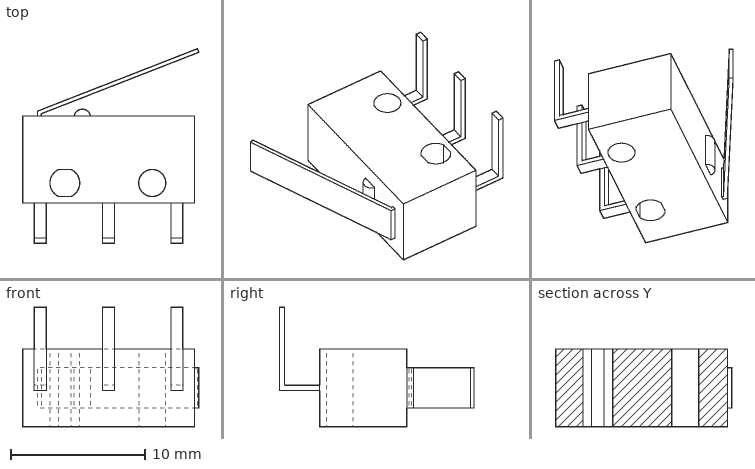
import cadquery as cq
import math

body_length = 12.8
body_depth = 6.5
body_height = 5.8
mid_x = body_length / 2
mid_z = body_height / 2

hole_spacing = 6.5
hole_y = 1.5
hole_diameter = 2.0
wide_hole_diameter = 2.2

terminal_pitch = 5.08
terminal_width = 0.9
terminal_thickness = 0.4
terminal_reach = 3.0
terminal_top = 8.9
terminal_offsets = [-terminal_pitch, 0, terminal_pitch]

lever_x = 1.1
lever_width = 3.0
lever_thickness = 0.3
lever_foot_height = 0.35
lever_rise = 5.0
lever_angle = math.radians(21.31)

plunger_x = 4.45
plunger_radius = 0.62
plunger_height = 0.5


def make_body():
    return cq.Workplane("XY").box(body_length, body_depth, body_height, centered=False)


def make_round_hole():
    center_x = mid_x + hole_spacing / 2
    return cq.Workplane("XY").center(center_x, hole_y).circle(hole_diameter / 2).extrude(body_height)


def make_wide_hole():
    """Larger round hole narrowed by two flats to the diameter of the other hole."""
    base = cq.Workplane("XY").center(mid_x - hole_spacing / 2, hole_y)
    circle = base.circle(wide_hole_diameter / 2).extrude(body_height)
    flats = base.rect(wide_hole_diameter, hole_diameter).extrude(body_height)
    return circle.intersect(flats)


def make_terminal(center_x):
    leg_bottom = mid_z - terminal_thickness / 2
    leg_top = leg_bottom + terminal_thickness
    bend_y = -terminal_reach + terminal_thickness
    return (
        cq.Workplane("YZ", origin=(center_x, 0, 0))
        .moveTo(0, leg_bottom)
        .lineTo(-terminal_reach, leg_bottom)
        .lineTo(-terminal_reach, terminal_top)
        .lineTo(bend_y, terminal_top)
        .lineTo(bend_y, leg_top)
        .lineTo(0, leg_top)
        .close()
        .extrude(terminal_width / 2, both=True)
    )


def make_lever():
    """Short foot rising from the back face, bent into a long inclined arm."""
    arm_run = (lever_rise - lever_foot_height) / math.tan(lever_angle)
    tip_x = lever_x + arm_run
    tip_y = body_depth + lever_rise
    inner_x = lever_x + lever_thickness
    bend_drop = lever_thickness * (1 / math.cos(lever_angle) - math.tan(lever_angle))
    bend_y = body_depth + lever_foot_height
    return (
        cq.Workplane("XY", origin=(0, 0, mid_z))
        .moveTo(lever_x, body_depth)
        .lineTo(lever_x, bend_y)
        .lineTo(tip_x, tip_y)
        .lineTo(
            tip_x + lever_thickness * math.sin(lever_angle),
            tip_y - lever_thickness * math.cos(lever_angle),
        )
        .lineTo(inner_x, bend_y - bend_drop)
        .lineTo(inner_x, body_depth)
        .close()
        .extrude(lever_width / 2, both=True)
    )


def make_plunger():
    """Cylinder with a vertical axis, partly sunk into the back face."""
    center_y = body_depth + plunger_height - plunger_radius
    return (
        cq.Workplane("XY", origin=(plunger_x, center_y, mid_z))
        .circle(plunger_radius)
        .extrude(lever_width / 2, both=True)
    )


result = make_body().union(make_plunger()).union(make_lever())
for offset in terminal_offsets:
    result = result.union(make_terminal(mid_x + offset))
result = result.cut(make_round_hole()).cut(make_wide_hole())